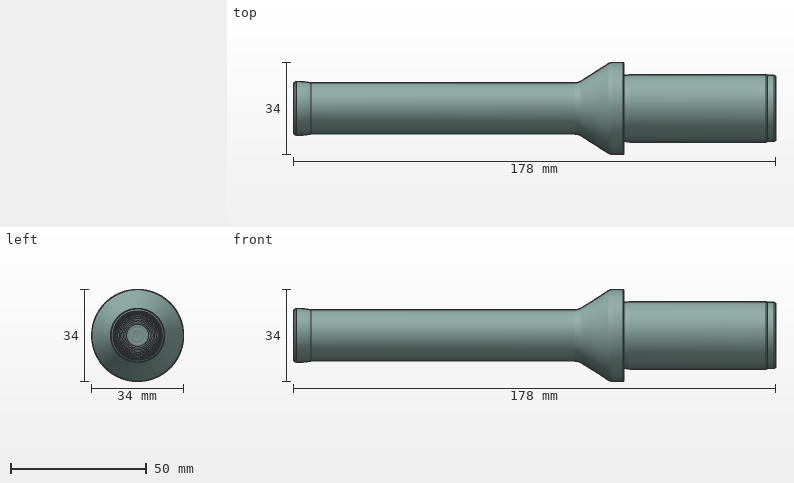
import cadquery as cq
import math


TOTAL_LENGTH = 178.0
SHANK_LENGTH = 56.0
HEAD_LENGTH = 6.5

HEAD_DIAMETER = 20.0
NECK_DIAMETER = 19.0
FLANGE_DIAMETER = 34.0
SHANK_DIAMETER = 25.0
SHANK_RELIEF_DIAMETER = 24.5

CENTRE_FLAT_RADIUS = 1.38
FIRST_RIDGE_WIDTH = 0.73
RIDGE_WIDTH_RATIO = 0.95
RIDGE_DEPTH = 0.1
FACE_RADIUS = 9.1
CORNER_MIDDLE = (0.6, 9.75)
CORNER_END = 1.2
TAPER_EDGES = [2.4, 2.9, 3.4, 3.9, 5.1, 5.6]

FLANGE_RIM_LENGTH = 5.1
CONE_ANGLE = 32.5
CONE_NECK_FILLET = 4.5
CONE_RIM_FILLET = 3.2
FLANGE_BACK_BEVEL_LENGTH = 0.4
FLANGE_BACK_BEVEL_HEIGHT = 0.2

FRONT_RELIEF_LENGTH = 0.6
FRONT_RELIEF_TAPER = 1.5
REAR_RELIEF_LENGTH = 3.2
REAR_RELIEF_TAPER = 0.5
END_CHAMFER_LENGTH = 0.8
END_CHAMFER_HEIGHT = 0.4

EDGE_SEARCH_MARGIN = 0.1

head_radius = HEAD_DIAMETER / 2
neck_radius = NECK_DIAMETER / 2
flange_radius = FLANGE_DIAMETER / 2
shank_radius = SHANK_DIAMETER / 2
relief_radius = SHANK_RELIEF_DIAMETER / 2
flange_back = TOTAL_LENGTH - SHANK_LENGTH
rim_start = flange_back - FLANGE_RIM_LENGTH
cone_length = (flange_radius - neck_radius) / math.tan(math.radians(CONE_ANGLE))
cone_start = rim_start - cone_length


def revolve_about_axis(outline):
    """Turn a closed (X, radius) outline around the tool axis."""
    return cq.Workplane("XY").polyline(outline).close().revolve(360, (0, 0), (1, 0))


def tip_face_points():
    """Zigzag of shallow ridges, each narrower than the one inside it, from the axis outwards."""
    points = [(RIDGE_DEPTH, 0)]
    radius = CENTRE_FLAT_RADIUS
    width = FIRST_RIDGE_WIDTH
    at_valley = True
    while radius < FACE_RADIUS:
        points.append((RIDGE_DEPTH if at_valley else 0, radius))
        radius += width
        width *= RIDGE_WIDTH_RATIO
        at_valley = not at_valley
    return points


def back_taper_points():
    """Edges of the conical bands that step down, ever steeper, towards the neck."""
    taper_length = HEAD_LENGTH - CORNER_END
    points = []
    for x in TAPER_EDGES:
        drop = (head_radius - neck_radius) * ((x - CORNER_END) / taper_length) ** 2
        points.append((x, head_radius - drop))
    return points


def make_head():
    outline = tip_face_points()
    outline += [(0, FACE_RADIUS), CORNER_MIDDLE, (CORNER_END, head_radius)]
    outline += back_taper_points()
    outline += [(HEAD_LENGTH, neck_radius), (HEAD_LENGTH, 0)]
    return revolve_about_axis(outline)


def fillet_ring_edge(holder, edge_x, radius):
    """Round the circular edge that lies in the plane X = edge_x."""
    near_edge = cq.selectors.BoxSelector(
        (edge_x - EDGE_SEARCH_MARGIN, -flange_radius, -flange_radius),
        (edge_x + EDGE_SEARCH_MARGIN, flange_radius, flange_radius),
    )
    return holder.edges(near_edge).edges("%CIRCLE").fillet(radius)


def make_holder():
    front_relief_end = flange_back + FRONT_RELIEF_LENGTH
    rear_relief_start = TOTAL_LENGTH - REAR_RELIEF_LENGTH
    outline = [
        (HEAD_LENGTH, 0),
        (HEAD_LENGTH, neck_radius),
        (cone_start, neck_radius),
        (rim_start, flange_radius),
        (flange_back - FLANGE_BACK_BEVEL_LENGTH, flange_radius),
        (flange_back, flange_radius - FLANGE_BACK_BEVEL_HEIGHT),
        (flange_back, relief_radius),
        (front_relief_end, relief_radius),
        (front_relief_end + FRONT_RELIEF_TAPER, shank_radius),
        (rear_relief_start - REAR_RELIEF_TAPER, shank_radius),
        (rear_relief_start, relief_radius),
        (TOTAL_LENGTH - END_CHAMFER_LENGTH, relief_radius),
        (TOTAL_LENGTH, relief_radius - END_CHAMFER_HEIGHT),
        (TOTAL_LENGTH, 0),
    ]
    holder = revolve_about_axis(outline)
    holder = fillet_ring_edge(holder, cone_start, CONE_NECK_FILLET)
    return fillet_ring_edge(holder, rim_start, CONE_RIM_FILLET)


head = make_head()
holder = make_holder()
result = cq.Compound.makeCompound([head.val(), holder.val()])